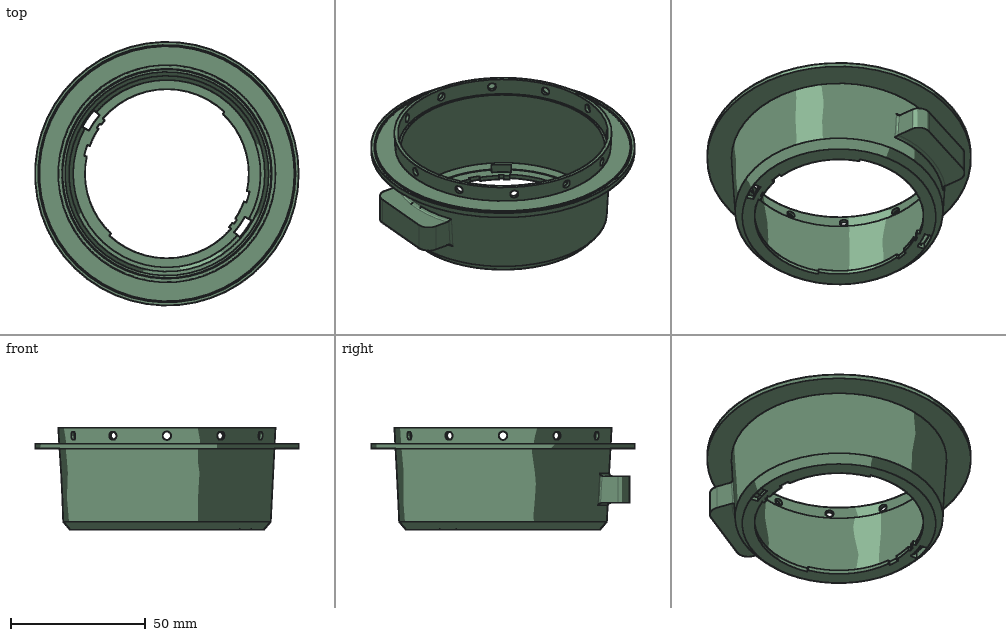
import cadquery as cq
import math

TOTAL_HEIGHT = 38.0
FLANGE_BOTTOM = 30.2
FLANGE_THICKNESS = 1.9
FLANGE_TOP = FLANGE_BOTTOM + FLANGE_THICKNESS
LEDGE_HEIGHT = FLANGE_TOP
BASE_BEVEL_HEIGHT = 3.0
FLOOR_THICKNESS = 1.7
FLOOR_WALL_HEIGHT = 0.3
INNER_BEVEL_HEIGHT = 1.8

FLANGE_RADIUS = 49.0
COLLAR_RADIUS = 40.4
CUP_BOTTOM_RADIUS = 38.6
BASE_RADIUS = 36.0

COLLAR_MOUTH_RADIUS = 39.0
COLLAR_FOOT_RADIUS = 38.7
LEDGE_INNER_RADIUS = 37.8
CAVITY_BOTTOM_RADIUS = 36.4
FLOOR_RADIUS = 34.8

GROOVE_OUTER_RADIUS = 47.8
GROOVE_WIDTH = 0.5
GROOVE_DEPTH = 0.5

COLLAR_HOLE_COUNT = 12
COLLAR_HOLE_DIAMETER = 3.0
COLLAR_HOLE_HEIGHT = 35.0

OPENING_RADIUS = 30.4
RECESS_RADIUS = 31.4
WIDE_RECESS = (47.0, 139.3)
KEY_NOTCH = (160.2, 167.7)
LATCH_ANGLE = 145.0
LATCH_NOTCH_RADIUS = 31.1
LATCH_NOTCH_SPAN = 3.4
LATCH_SLOT_INNER_RADIUS = 33.1
LATCH_SLOT_OUTER_RADIUS = 35.9
LATCH_SLOT_SPAN = 12.0
LATCH_SLOT_HEIGHT = 4.9

LUG_WIDTH = 32.1
LUG_TIP_Y = 47.0
LUG_ROOT_Y = 29.4
LUG_BOTTOM = 10.0
LUG_HEIGHT = 10.0
LUG_CORNER_RADIUS = 4.5
LUG_ROOT_FILLET = 1.0


def revolved(profile):
    """Solid swept once around Z by a closed outline of (radius, height) points."""
    return cq.Workplane("XZ").polyline(profile).close().revolve(360, (0, 0), (0, 1))


def ring_sector(inner_radius, outer_radius, start_angle, end_angle, height):
    """Arc-shaped block standing on the underside of the floor."""

    def point(radius, angle):
        turn = math.radians(angle)
        return radius * math.cos(turn), radius * math.sin(turn)

    middle_angle = (start_angle + end_angle) / 2
    return (
        cq.Workplane("XY")
        .moveTo(*point(inner_radius, start_angle))
        .lineTo(*point(outer_radius, start_angle))
        .threePointArc(point(outer_radius, middle_angle), point(outer_radius, end_angle))
        .lineTo(*point(inner_radius, end_angle))
        .threePointArc(point(inner_radius, middle_angle), point(inner_radius, start_angle))
        .close()
        .extrude(height)
    )


def make_cup_body():
    """Solid tapered cup with a bevelled base, before it is hollowed."""
    return revolved([
        (0, 0),
        (BASE_RADIUS, 0),
        (CUP_BOTTOM_RADIUS, BASE_BEVEL_HEIGHT),
        (COLLAR_RADIUS, TOTAL_HEIGHT),
        (0, TOTAL_HEIGHT),
    ])


def make_lug():
    """Block with rounded outer corners that reaches into the cup wall."""
    return (
        cq.Workplane("XY", origin=(0, LUG_ROOT_Y, LUG_BOTTOM))
        .box(LUG_WIDTH, LUG_TIP_Y - LUG_ROOT_Y, LUG_HEIGHT, centered=(True, False, False))
        .edges("|Z and >Y")
        .fillet(LUG_CORNER_RADIUS)
    )


def make_flange():
    """Flat ring around the cup with a shallow groove near its rim."""
    groove = (
        cq.Workplane("XY", origin=(0, 0, FLANGE_TOP))
        .circle(GROOVE_OUTER_RADIUS)
        .circle(GROOVE_OUTER_RADIUS - GROOVE_WIDTH)
        .extrude(-GROOVE_DEPTH)
    )
    disc = cq.Workplane("XY", origin=(0, 0, FLANGE_BOTTOM)).circle(FLANGE_RADIUS).extrude(FLANGE_THICKNESS)
    return disc.cut(groove)


def make_cavity():
    """Space inside the cup: stepped at the collar, tapered, bevelled down to the floor."""
    bevel_bottom = FLOOR_THICKNESS + FLOOR_WALL_HEIGHT
    return revolved([
        (0, FLOOR_THICKNESS),
        (FLOOR_RADIUS, FLOOR_THICKNESS),
        (FLOOR_RADIUS, bevel_bottom),
        (CAVITY_BOTTOM_RADIUS, bevel_bottom + INNER_BEVEL_HEIGHT),
        (LEDGE_INNER_RADIUS, LEDGE_HEIGHT),
        (COLLAR_FOOT_RADIUS, LEDGE_HEIGHT),
        (COLLAR_MOUTH_RADIUS, TOTAL_HEIGHT),
        (0, TOTAL_HEIGHT),
    ])


def make_floor_cuts():
    """Round opening with its recesses, notches and latch slots, repeated half a turn apart."""
    cuts = cq.Workplane("XY").circle(OPENING_RADIUS).extrude(FLOOR_THICKNESS)
    core_radius = OPENING_RADIUS / 2
    latch_notch = (LATCH_ANGLE - LATCH_NOTCH_SPAN / 2, LATCH_ANGLE + LATCH_NOTCH_SPAN / 2)
    latch_slot = (LATCH_ANGLE - LATCH_SLOT_SPAN / 2, LATCH_ANGLE + LATCH_SLOT_SPAN / 2)
    sectors = [
        ring_sector(core_radius, RECESS_RADIUS, *WIDE_RECESS, FLOOR_THICKNESS),
        ring_sector(core_radius, RECESS_RADIUS, *KEY_NOTCH, FLOOR_THICKNESS),
        ring_sector(core_radius, LATCH_NOTCH_RADIUS, *latch_notch, FLOOR_THICKNESS),
        ring_sector(LATCH_SLOT_INNER_RADIUS, LATCH_SLOT_OUTER_RADIUS, *latch_slot, LATCH_SLOT_HEIGHT),
    ]
    for sector in sectors:
        cuts = cuts.union(sector)
        cuts = cuts.union(sector.rotate((0, 0, 0), (0, 0, 1), 180))
    return cuts


def make_collar_holes():
    """Evenly spaced radial pins, the first one along +X."""
    pin = (
        cq.Workplane("YZ")
        .center(0, COLLAR_HOLE_HEIGHT)
        .circle(COLLAR_HOLE_DIAMETER / 2)
        .extrude(FLANGE_RADIUS)
    )
    pins = pin
    for index in range(1, COLLAR_HOLE_COUNT):
        pins = pins.union(pin.rotate((0, 0, 0), (0, 0, 1), index * 360 / COLLAR_HOLE_COUNT))
    return pins


def make_outside():
    """Solid cup with its lug, the seam between them filleted."""
    around_lug_root = cq.selectors.BoxSelector(
        (-LUG_WIDTH, LUG_ROOT_Y, LUG_BOTTOM - LUG_ROOT_FILLET),
        (LUG_WIDTH, COLLAR_RADIUS, LUG_BOTTOM + LUG_HEIGHT + LUG_ROOT_FILLET),
    )
    straight_lug_sides = cq.selectors.ParallelDirSelector(cq.Vector(0, 1, 0))
    seam = around_lug_root - straight_lug_sides
    return make_cup_body().union(make_lug()).edges(seam).fillet(LUG_ROOT_FILLET)



result = (
    make_outside()
    .union(make_flange())
    .cut(make_cavity())
    .cut(make_floor_cuts())
    .cut(make_collar_holes())
)